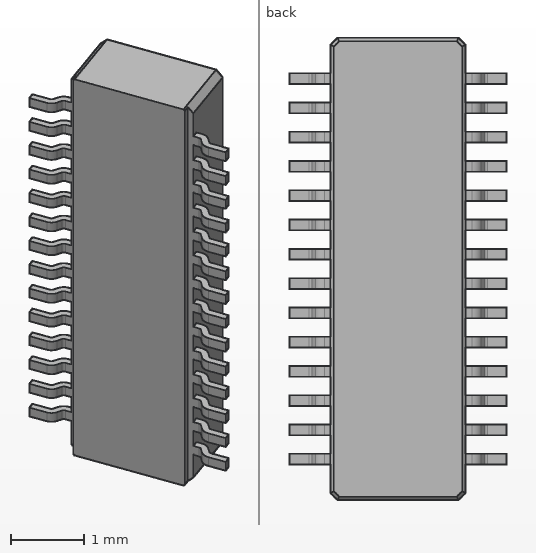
import cadquery as cq
import math

BODY_WIDTH = 1.85
BODY_LENGTH = 6.32
BODY_DEPTH = 1.09
CORNER_CHAMFER = 0.10
REAR_CHAMFER = 0.05
STEP_INSET = 0.08
STEP_DEPTH = 0.10

LEAD_COUNT = 14
LEAD_PITCH = 0.40
LEAD_WIDTH = 0.15
LEAD_THICKNESS = 0.10
LEAD_SPAN = 2.97
FOOT_LENGTH = 0.265
BEND_ANGLE = 55
BEND_INNER_RADIUS = 0.05
STANDOFF = 0.05
LEAD_EMBED = 0.10

half_width = BODY_WIDTH / 2
step_y = STANDOFF + STEP_DEPTH
bend_outer_radius = BEND_INNER_RADIUS + LEAD_THICKNESS
lead_row_length = (LEAD_COUNT - 1) * LEAD_PITCH


def make_body():
    """Chamfered block with a step along both long edges of the mounting side."""
    body = (
        cq.Workplane("XY")
        .box(BODY_WIDTH, BODY_DEPTH, BODY_LENGTH)
        .translate((0, STANDOFF + BODY_DEPTH / 2, 0))
        .edges("|Y")
        .chamfer(CORNER_CHAMFER)
        .faces(">Y")
        .edges()
        .chamfer(REAR_CHAMFER)
    )
    for side in (-1, 1):
        step = (
            cq.Workplane("XY")
            .box(2 * STEP_INSET, 2 * STEP_DEPTH, BODY_LENGTH)
            .translate((side * half_width, step_y - STEP_DEPTH, 0))
        )
        body = body.cut(step)
    return body


def bend_point(center, radius, angle):
    """Point on a bend circle; the angle in degrees is measured from +X."""
    turn = math.radians(angle)
    return (center[0] + radius * math.cos(turn), center[1] + radius * math.sin(turn))


def make_lead():
    """One lead on the +X side, centred on Z = 0: shoulder, two bends and a flat foot."""
    tip_x = LEAD_SPAN / 2
    root_x = half_width - LEAD_EMBED
    sole_y = 0
    shoulder_y = step_y

    bend = math.radians(BEND_ANGLE)
    bend_radii = BEND_INNER_RADIUS + bend_outer_radius
    leg = (shoulder_y - sole_y - bend_radii * (1 - math.cos(bend))) / math.sin(bend)
    bend_run = bend_radii * math.sin(bend) + leg * math.cos(bend)

    foot_x = tip_x - FOOT_LENGTH
    shoulder_x = foot_x - bend_run
    foot_center = (foot_x, sole_y + bend_outer_radius)
    shoulder_center = (shoulder_x, shoulder_y - BEND_INNER_RADIUS)

    shoulder_end = 90 - BEND_ANGLE
    shoulder_middle = 90 - BEND_ANGLE / 2
    foot_start = 270 - BEND_ANGLE
    foot_middle = 270 - BEND_ANGLE / 2

    return (
        cq.Workplane("XY")
        .moveTo(root_x, shoulder_y)
        .lineTo(shoulder_x, shoulder_y)
        .threePointArc(
            bend_point(shoulder_center, BEND_INNER_RADIUS, shoulder_middle),
            bend_point(shoulder_center, BEND_INNER_RADIUS, shoulder_end),
        )
        .lineTo(*bend_point(foot_center, bend_outer_radius, foot_start))
        .threePointArc(
            bend_point(foot_center, bend_outer_radius, foot_middle),
            (foot_x, sole_y),
        )
        .lineTo(tip_x, sole_y)
        .lineTo(tip_x, sole_y + LEAD_THICKNESS)
        .lineTo(foot_x, sole_y + LEAD_THICKNESS)
        .threePointArc(
            bend_point(foot_center, BEND_INNER_RADIUS, foot_middle),
            bend_point(foot_center, BEND_INNER_RADIUS, foot_start),
        )
        .lineTo(*bend_point(shoulder_center, bend_outer_radius, shoulder_end))
        .threePointArc(
            bend_point(shoulder_center, bend_outer_radius, shoulder_middle),
            (shoulder_x, shoulder_y + LEAD_THICKNESS),
        )
        .lineTo(root_x, shoulder_y + LEAD_THICKNESS)
        .close()
        .extrude(LEAD_WIDTH / 2, both=True)
    )


right_lead = make_lead()
left_lead = right_lead.mirror("YZ")

result = make_body()
for index in range(LEAD_COUNT):
    lead_z = index * LEAD_PITCH - lead_row_length / 2
    for lead in (left_lead, right_lead):
        result = result.union(lead.translate((0, 0, lead_z)))